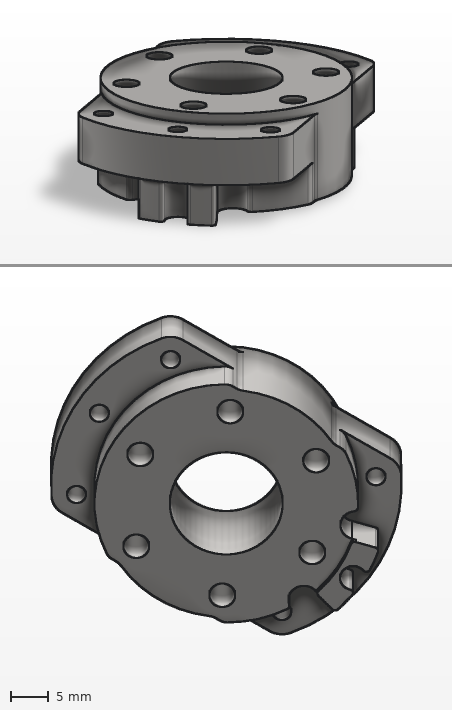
import cadquery as cq
import math

hub_height = 13.5
flange_depth = 1.55
flange_thickness = 6.4
total_height = 14.2
flange_bottom = flange_depth + flange_thickness

hub_radius = 16.7
bore_radius = 7.5
flat_width = 30.0
flange_radius = 23.25
flange_corner_radius = 3.1
skirt_radius = 17.5
skirt_corner_radius = 2.0
neck_fillet = 2.0

large_hole_diameter = 3.45
large_hole_circle = 13.5
small_hole_diameter = 2.5
small_hole_circle = 19.9
small_hole_spacing = 36.0

boss_radius = 21.25
boss_half_angle = 15.0
notch_radius = 1.745
relief_radius = 2.05
edge_fillet = 0.5
relief_edge_fillet = 0.6

relief_angle = boss_half_angle + math.degrees(math.asin(relief_radius / skirt_radius))


def polar(radius, angle):
    """Point at an angle in degrees, counter-clockwise from +X."""
    turn = math.radians(angle)
    return (radius * math.cos(turn), radius * math.sin(turn))


def disc(radius, top, bottom, centre=(0, 0)):
    """Vertical cylinder between two depths."""
    plane = cq.Workplane("XY").workplane(offset=-bottom)
    return plane.center(*centre).circle(radius).extrude(bottom - top)


def flat_sided_disc(radius, top, bottom, corner_radius):
    """Disc trimmed by two flats facing +X and -X, with rounded corners."""
    slab = cq.Workplane("XY").workplane(offset=-bottom).rect(flat_width, 2 * radius).extrude(bottom - top)
    return slab.intersect(disc(radius, top, bottom)).edges("|Z").fillet(corner_radius)


def fillet_at(body, points, radius, top=0):
    """Round the vertical edges at the given plan points, with their midpoints below the depth top."""
    reach = 0.15
    selector = None
    for x, y in points:
        box = cq.selectors.BoxSelector(
            (x - reach, y - reach, -total_height),
            (x + reach, y + reach, -top),
        )
        selector = box if selector is None else selector + box
    return body.edges("|Z").edges(selector).fillet(radius)


def make_body():
    """Hub, flange and skirt, blended where the flats meet the hub."""
    body = disc(hub_radius, flange_depth, hub_height)
    body = body.union(flat_sided_disc(flange_radius, flange_depth, flange_bottom, flange_corner_radius))
    body = body.union(flat_sided_disc(skirt_radius, flange_bottom, hub_height, skirt_corner_radius))
    body = body.clean()
    flat_x = flat_width / 2
    neck_y = math.sqrt(hub_radius**2 - flat_x**2)
    necks = [(sx * flat_x, sy * neck_y) for sx in (-1, 1) for sy in (-1, 1)]
    body = fillet_at(body, necks, neck_fillet)
    return body.union(disc(hub_radius, 0, flange_depth))


def cut_reliefs(body):
    """Round reliefs in the skirt on both sides of the boss."""
    half_span = math.degrees(2 * math.asin(relief_radius / (2 * skirt_radius)))
    corners = []
    for side in (-1, 1):
        centre = polar(skirt_radius, -90 + side * relief_angle)
        body = body.cut(disc(relief_radius, flange_bottom, hub_height, centre))
        corners.append(polar(skirt_radius, -90 + side * (relief_angle + half_span)))
    return fillet_at(body, corners, relief_edge_fillet)


def make_boss():
    """Ring sector centred on -Y, notched around the middle flange hole."""
    start, end = -90 - boss_half_angle, -90 + boss_half_angle
    boss = (
        cq.Workplane("XY")
        .workplane(offset=-total_height)
        .moveTo(*polar(skirt_radius, start))
        .lineTo(*polar(boss_radius, start))
        .threePointArc((0, -boss_radius), polar(boss_radius, end))
        .lineTo(*polar(skirt_radius, end))
        .threePointArc((0, -skirt_radius), polar(skirt_radius, start))
        .close()
        .extrude(total_height - flange_bottom)
    )
    notch_centre = (0, -small_hole_circle)
    boss = boss.cut(disc(notch_radius, flange_bottom, total_height, notch_centre))
    notch_y = -(boss_radius**2 + small_hole_circle**2 - notch_radius**2) / (2 * small_hole_circle)
    notch_x = math.sqrt(boss_radius**2 - notch_y**2)
    outer_corners = [polar(boss_radius, start), polar(boss_radius, end)]
    notch_corners = [(-notch_x, notch_y), (notch_x, notch_y)]
    return fillet_at(boss, outer_corners + notch_corners, edge_fillet)


large_holes = [polar(large_hole_circle, 30 + 60 * i) for i in range(6)]
small_holes = [
    polar(small_hole_circle, middle + step * small_hole_spacing)
    for middle in (90, -90)
    for step in (-1, 0, 1)
]

result = cut_reliefs(make_body()).union(make_boss())

inner_corners = [polar(skirt_radius, -90 + side * boss_half_angle) for side in (-1, 1)]
result = fillet_at(result, inner_corners, edge_fillet, hub_height)

result = result.cut(disc(bore_radius, 0, hub_height))
for hole_centre in large_holes:
    result = result.cut(disc(large_hole_diameter / 2, 0, hub_height, hole_centre))
for hole_centre in small_holes:
    result = result.cut(disc(small_hole_diameter / 2, 0, flange_bottom, hole_centre))